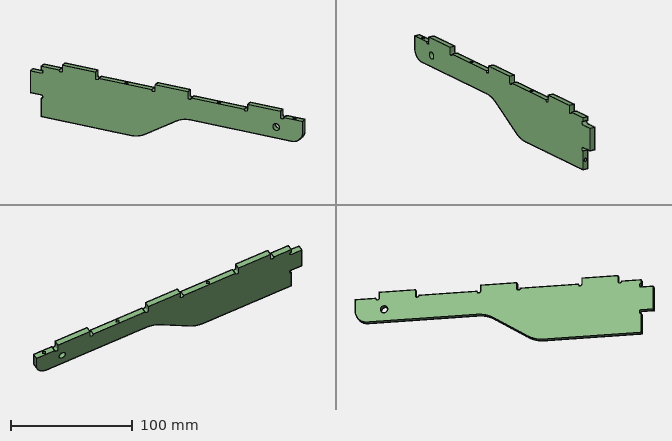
import cadquery as cq
import math

length = 250.0
thickness = 5.0
height = 50.5
top_tab_height = 5.0
body_top = height - top_tab_height
body_left = 10.0

arm_height = 20.0
arm_bottom = body_top - arm_height
arm_corner_radius = 10.0
slope_angle = math.radians(32)
slope_middle_x = 119.8
slope_blend_radius = 25.0

top_tab_width = 30.2
top_tab_pitch = 85.0
first_top_tab_x = 29.5
top_tab_starts = [first_top_tab_x + i * top_tab_pitch for i in range(3)]
end_tab_bottom = 19.5
end_tab_height = 19.8
end_tab_top = end_tab_bottom + end_tab_height

relief_radius = 1.5
relief_width = 2 * relief_radius

cross_hole_diameter = 6.0
cross_hole_x = 225.8
cross_hole_z = body_top - arm_height / 2
pilot_diameter = 2.5
pilot_depth = 10.0

back_plane = cq.Workplane("XZ", origin=(0, thickness / 2, 0))


def plate_block(x, z, width, tall):
    """Plate-thick block with its lower left corner at (x, z)."""
    block = cq.Workplane("XY").box(width, thickness, tall, centered=(False, True, False))
    return block.translate((x, 0, z))


def cross_cylinder(x, z, diameter):
    """Cylinder running through the full plate thickness."""
    return back_plane.center(x, z).circle(diameter / 2).extrude(thickness)


def make_body():
    """Tapered plate with a blended slope and a rounded arm end."""
    half_run = arm_bottom / 2 / math.tan(slope_angle)
    slope_start = (slope_middle_x - half_run, 0)
    slope_end = (slope_middle_x + half_run, arm_bottom)
    arm_corner = (length, arm_bottom)
    outline = [(body_left, 0), slope_start, slope_end, arm_corner, (length, body_top), (body_left, body_top)]
    body = back_plane.polyline(outline).close().extrude(thickness)
    for point in (slope_start, slope_end):
        edge = cq.selectors.NearestToPointSelector((point[0], 0, point[1]))
        body = body.edges("|Y").edges(edge).fillet(slope_blend_radius)
    end_edge = cq.selectors.NearestToPointSelector((length, 0, arm_bottom))
    return body.edges("|Y").edges(end_edge).fillet(arm_corner_radius)


def add_tabs(body):
    """Add the rectangular tabs and cut the reliefs at their roots."""
    for start in top_tab_starts:
        body = body.union(plate_block(start, body_top, top_tab_width, top_tab_height))
        for x in (start - relief_radius, start + top_tab_width + relief_radius):
            body = body.cut(cross_cylinder(x, body_top, relief_width))
    body = body.union(plate_block(0, end_tab_bottom, body_left, end_tab_height))
    for z in (end_tab_bottom - relief_radius, end_tab_top + relief_radius):
        body = body.cut(cross_cylinder(body_left, z, relief_width))
    return body


def drill_holes(body):
    """Drill the cross hole, the top pilot holes and the end pilot hole."""
    body = body.cut(cross_cylinder(cross_hole_x, cross_hole_z, cross_hole_diameter))

    edge_ends = [start - relief_width for start in top_tab_starts[1:]] + [length]
    for start, edge_end in zip(top_tab_starts, edge_ends):
        x = (start + top_tab_width + relief_width + edge_end) / 2
        pilot = cq.Workplane("XY").circle(pilot_diameter / 2).extrude(-pilot_depth)
        body = body.cut(pilot.translate((x, 0, body_top)))

    z = (end_tab_bottom - relief_width) / 2
    pilot = cq.Workplane("YZ").circle(pilot_diameter / 2).extrude(pilot_depth)
    return body.cut(pilot.translate((body_left, 0, z)))


result = drill_holes(add_tabs(make_body()))